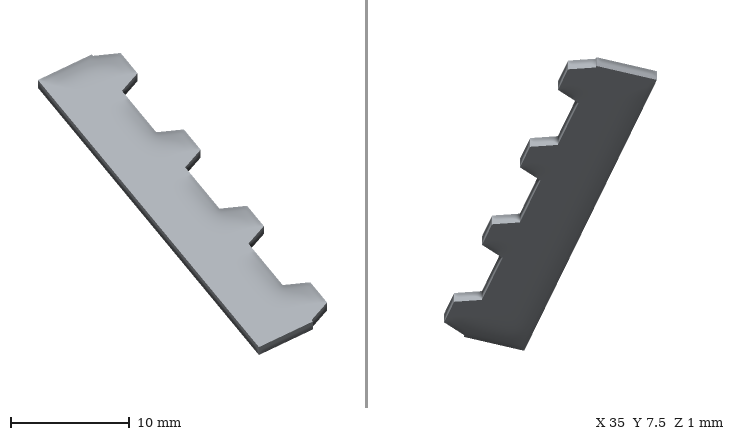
import cadquery as cq

length = 35.0
depth = 7.5
thickness = 1.0

tooth_count = 4
tooth_pitch = 10.0
tooth_height = 2.15
tooth_root_width = 4.6
tooth_tip_width = 2.65

root_y = depth - tooth_height
first_tooth_x = (length - (tooth_count - 1) * tooth_pitch) / 2


def tooth_points(center_x):
    """Corners of one tooth, from its left root to its right root."""
    half_root = tooth_root_width / 2
    half_tip = tooth_tip_width / 2
    return [
        (center_x - half_root, root_y),
        (center_x - half_tip, depth),
        (center_x + half_tip, depth),
        (center_x + half_root, root_y),
    ]


outline = [(0, 0), (0, root_y)]
for index in range(tooth_count):
    outline += tooth_points(first_tooth_x + index * tooth_pitch)
outline += [(length, root_y), (length, 0)]

result = cq.Workplane("XY").polyline(outline).close().extrude(thickness)